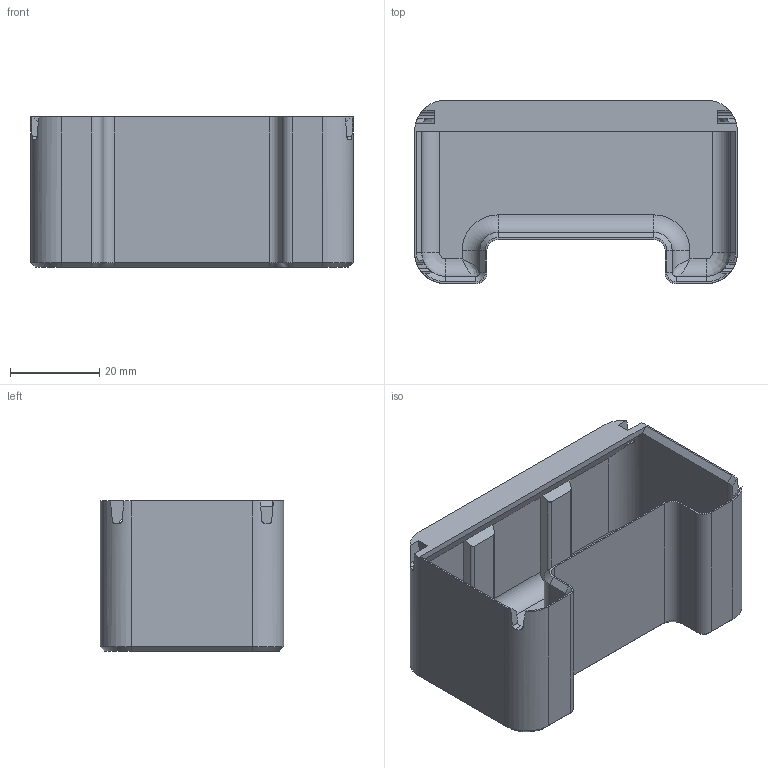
import cadquery as cq
import math

LENGTH = 72.5
DEPTH = 41.2
HEIGHT = 33.73

CORNER_RADIUS = 7.0
NOTCH_HALF_WIDTH = 20.0
NOTCH_DEPTH = 9.9
NOTCH_RADIUS = 2.5
BASE_CHAMFER = 1.0

WALL = 1.6
FLOOR = 1.0
FLOOR_FILLET = 4.0
RIM_LAND = 0.4
RIM_CHAMFER_HEIGHT = 1.35

LEDGE_WIDTH = 7.0
LEDGE_SLOPE_DROP = 6.8

RIB_OFFSET = 12.2
RIB_FRONT_WIDTH = 7.0
RIB_PROJECTION = 1.9
RIB_SIDE_ANGLE = 30.0
RIB_EDGE_RADIUS = 0.8
RIB_FRONT_HEIGHT = 24.5

SLOT_CENTRE = 3.8
SLOT_TOP_WIDTH = 3.0
SLOT_BOTTOM_WIDTH = 2.1
SLOT_DEPTH = 5.1
SLOT_REACH = 4.5
SLOT_FILLET = 0.7

HALF_LENGTH = LENGTH / 2
BACK_WALL = DEPTH - WALL
LEDGE_FRONT = DEPTH - LEDGE_WIDTH
LEDGE_LIP_BOTTOM = HEIGHT - RIM_CHAMFER_HEIGHT

MARGIN = 0.1


def u_block(inset, height):
    """Prism on the notched outline, moved inward by inset on every side."""
    half = HALF_LENGTH - inset
    block = (
        cq.Workplane("XY")
        .rect(2 * half, DEPTH - 2 * inset)
        .extrude(height)
        .translate((0, DEPTH / 2, 0))
        .edges("|Z")
        .fillet(CORNER_RADIUS - inset)
    )
    notch_half = NOTCH_HALF_WIDTH + inset
    notch_back = NOTCH_DEPTH + inset
    notch = (
        cq.Workplane("XY")
        .rect(2 * notch_half, 2 * notch_back)
        .extrude(height)
        .edges("|Z")
        .fillet(NOTCH_RADIUS + inset)
    )
    mouth_corners = cq.selectors.BoxSelector(
        (-notch_half - MARGIN, inset - MARGIN, -MARGIN),
        (notch_half + MARGIN, inset + MARGIN, height + MARGIN),
    )
    return block.cut(notch).edges("|Z").edges(mouth_corners).fillet(NOTCH_RADIUS - inset)


def ledge_space():
    """Everything the cavity may occupy: in front of and below the ledge."""
    section = [
        (0, 0),
        (BACK_WALL, 0),
        (BACK_WALL, LEDGE_LIP_BOTTOM - LEDGE_SLOPE_DROP),
        (LEDGE_FRONT, LEDGE_LIP_BOTTOM),
        (LEDGE_FRONT, HEIGHT),
        (0, HEIGHT),
    ]
    return cq.Workplane("YZ").polyline(section).close().extrude(HALF_LENGTH, both=True)


def cavity():
    """Inside space: filleted floor, flared rim, and a back limited by the ledge."""
    main = u_block(WALL, HEIGHT - FLOOR).faces("<Z").edges().fillet(FLOOR_FILLET)
    main = main.translate((0, 0, FLOOR))
    flare_angle = math.degrees(math.atan2(WALL - RIM_LAND, RIM_CHAMFER_HEIGHT))
    flare = (
        u_block(WALL, LEDGE_LIP_BOTTOM)
        .faces(">Z")
        .wires()
        .toPending()
        .workplane()
        .extrude(RIM_CHAMFER_HEIGHT, taper=-flare_angle, combine=False)
    )
    return main.union(flare).intersect(ledge_space())


def rib(x):
    """Rib centred at x: slanted sides, rounded front edges and a 45 degree sloping top."""
    spread = RIB_PROJECTION * math.tan(math.radians(RIB_SIDE_ANGLE))
    front = BACK_WALL - RIB_PROJECTION
    half_front = RIB_FRONT_WIDTH / 2
    half_base = half_front + spread
    outline = [
        (-half_base, BACK_WALL),
        (-half_front, front),
        (half_front, front),
        (half_base, BACK_WALL),
    ]
    body = (
        cq.Workplane("XY")
        .polyline(outline)
        .close()
        .extrude(HEIGHT)
        .edges("|Z and <Y")
        .fillet(RIB_EDGE_RADIUS)
    )
    side = [
        (front, FLOOR),
        (BACK_WALL, FLOOR),
        (BACK_WALL, RIB_FRONT_HEIGHT + RIB_PROJECTION),
        (front, RIB_FRONT_HEIGHT),
    ]
    envelope = cq.Workplane("YZ").polyline(side).close().extrude(half_base, both=True)
    return body.intersect(envelope).translate((x, 0, 0))


def slot_pair(y):
    """Cutter for the slots at both ends of the part, at distance y from the front."""
    section = [
        (y - SLOT_TOP_WIDTH / 2, HEIGHT),
        (y - SLOT_BOTTOM_WIDTH / 2, HEIGHT - SLOT_DEPTH),
        (y + SLOT_BOTTOM_WIDTH / 2, HEIGHT - SLOT_DEPTH),
        (y + SLOT_TOP_WIDTH / 2, HEIGHT),
    ]
    bar = (
        cq.Workplane("YZ")
        .polyline(section)
        .close()
        .extrude(HALF_LENGTH, both=True)
        .edges("|X and <Z")
        .fillet(SLOT_FILLET)
    )
    middle = cq.Workplane("XY").box(LENGTH - 2 * SLOT_REACH, 2 * DEPTH, 3 * HEIGHT)
    return bar.cut(middle.translate((0, y, 0)))


result = u_block(0, HEIGHT).faces("<Z").edges().chamfer(BASE_CHAMFER)
result = result.cut(cavity())
for rib_x in (-RIB_OFFSET, RIB_OFFSET):
    result = result.union(rib(rib_x))
for slot_y in (SLOT_CENTRE, DEPTH - SLOT_CENTRE):
    result = result.cut(slot_pair(slot_y))